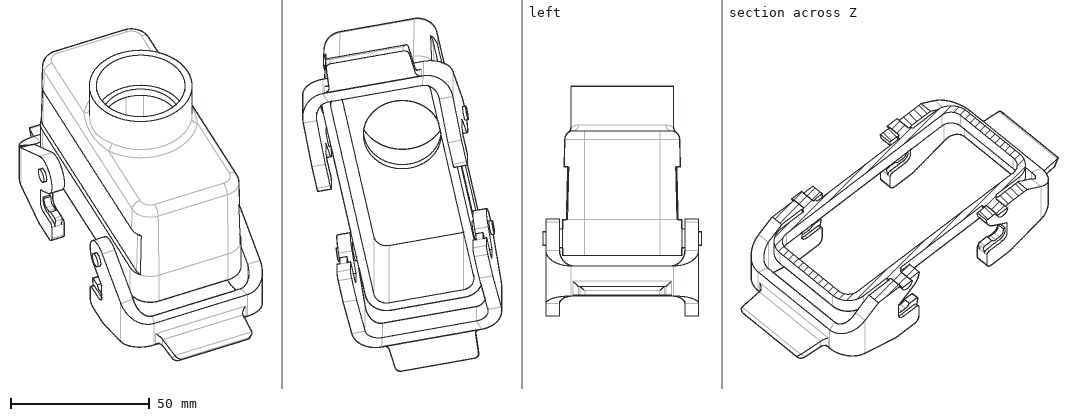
import cadquery as cq
import math


overall_length = 130.9
overall_width = 57.2

clearance = 1.3
edge_margin = 0.4

base_half_length = 46.9
base_half_width = 21.5
corner_radius = 7.9
base_height = 13.0
roof_z = 44.9
draft_angle = 1.5
roof_fillet = 3.1
wall = 3.1
roof_thickness = 2.1
upper_height = roof_z - base_height

recess_top_z = 32.0
recess_depth = 1.3
recess_half_length = 41.6
recess_end_drop = 1.0
recess_floor = base_half_width - recess_depth

entry_diameter = 37.0
entry_bore = 32.0
entry_throat = 28.0
entry_top_z = 61.0
entry_ledge_z = 46.0
entry_fillet = 2.1

pivot_x = 24.0
pivot_z = 6.2
pin_diameter = 5.0
boss_diameter = 6.8

lever_half_width = 27.5
lever_half_length = 53.1
arm_thickness = 5.0
crosspiece_thickness = 3.8
bend_radius = 9.0
eye_radius = 7.1
strap_angle = math.radians(32)
heel_angle = math.radians(16.4)
lever_bottom_z = -21.9
heel_x = -28.4
arm_inner = lever_half_width - arm_thickness
bend_inner_radius = bend_radius - crosspiece_thickness
bend_steps = 8
bend_x = bend_radius - lever_half_length
bend_inner_y = arm_inner - bend_inner_radius
bend_outer_y = lever_half_width - bend_radius

notch_x = -27.2
hook_tip_x = -17.0
hook_top_z = -12.7
notch_fillet = 2.6
hook_top_fillet = 1.3
hook_bottom_fillet = 2.4

rib_thickness = 2.6
rib_top_z = -10.0
rib_tip_x = -16.4
rib_start_z = -8.2
rib_seat_z = -11.1
rib_seat_x = -26.5
rib_wave = 2.0
rib_crest_x = -20.7
rib_corner = 0.8

handle_top_z = -11.1
handle_thickness = 3.1
handle_root_half_width = 15.8
handle_tip_half_width = 15.0
handle_tip_slant = math.radians(29)
handle_tip_round = 1.0
handle_corner_fillet = 1.8
handle_root_fillet = 2.0


def rounded_plan(z, half_length, half_width, radius, height, taper=0.0):
    """Upright block with rounded vertical edges, its lower face at height z."""
    plan = cq.Sketch().rect(2 * half_length, 2 * half_width).vertices().fillet(radius)
    return cq.Workplane("XY", origin=(0, 0, z)).placeSketch(plan).extrude(height, taper=taper)


def cylinder(z_low, z_high, diameter):
    """Upright cylinder on the Z axis."""
    return cq.Workplane("XY", origin=(0, 0, z_low)).circle(diameter / 2).extrude(z_high - z_low)


def make_recesses():
    """Material removed from both long sides: a block around a drafted core with sloping ends."""
    height = recess_top_z - base_height
    core_end = base_half_length + clearance
    end_slope = recess_end_drop / (base_half_length - recess_half_length)
    end_y = recess_floor - (core_end - recess_half_length) * end_slope
    core = (
        cq.Workplane("XY", origin=(0, 0, base_height))
        .polyline([
            (recess_half_length, recess_floor), (core_end, end_y),
            (core_end, -end_y), (recess_half_length, -recess_floor),
            (-recess_half_length, -recess_floor), (-core_end, -end_y),
            (-core_end, end_y), (-recess_half_length, recess_floor),
        ])
        .close()
        .extrude(height, taper=draft_angle)
    )
    block_width = 2 * (base_half_width + clearance)
    block = cq.Workplane("XY", origin=(0, 0, base_height)).box(
        2 * core_end, block_width, height, centered=(True, True, False)
    )
    return block.cut(core)


def make_pivot(pivot_side, arm_side):
    """Boss and pin, standing out from a long side of the hood."""
    boss_root = base_half_width - wall / 2
    pivot = cq.Workplane("XZ", origin=(pivot_side * pivot_x, 0, pivot_z))
    boss = pivot.workplane(offset=boss_root).circle(boss_diameter / 2).extrude(arm_inner - boss_root)
    pin = pivot.workplane(offset=boss_root).circle(pin_diameter / 2).extrude(overall_width / 2 - boss_root)
    stud = boss.union(pin)
    return stud if arm_side < 0 else stud.mirror("XZ")


def make_hood():
    """Hollow hood with its cable entry, side recesses and pivot pins."""
    band = rounded_plan(0, base_half_length, base_half_width, corner_radius, base_height)
    upper = rounded_plan(
        base_height, base_half_length, base_half_width, corner_radius, upper_height, draft_angle
    )
    upper = upper.faces(">Z").edges().fillet(roof_fillet)
    entry = cylinder(roof_z - roof_fillet, entry_top_z, entry_diameter)
    body = band.union(upper).union(entry)

    reach = entry_diameter / 2 + edge_margin
    entry_root = cq.selectors.BoxSelector(
        (-reach, -reach, roof_z - edge_margin), (reach, reach, roof_z + edge_margin)
    )
    body = body.edges(entry_root).fillet(entry_fillet)

    body = body.cut(make_recesses())

    cavity_top = roof_z - roof_thickness
    cavity = rounded_plan(
        0, base_half_length - wall, base_half_width - wall, corner_radius - wall, cavity_top
    )
    body = body.cut(cavity)
    body = body.cut(cylinder(cavity_top, entry_top_z, entry_throat))
    body = body.cut(cylinder(entry_ledge_z, entry_top_z, entry_bore))

    for pivot_side in (1, -1):
        for arm_side in (1, -1):
            body = body.union(make_pivot(pivot_side, arm_side))
    return body


def strap_top(x):
    """Height of the sloping upper edge of an arm, tangent to the eye."""
    tangent_x = -pivot_x - eye_radius * math.sin(strap_angle)
    tangent_z = pivot_z + eye_radius * math.cos(strap_angle)
    return tangent_z + (x - tangent_x) * math.tan(strap_angle)


def strap_bottom(x):
    """Height of the sloping edge on the underside of an arm, tangent to the eye."""
    tangent_x = -pivot_x + eye_radius * math.sin(strap_angle)
    tangent_z = pivot_z - eye_radius * math.cos(strap_angle)
    return tangent_z + (x - tangent_x) * math.tan(strap_angle)


def heel_bottom(x):
    """Height of the sloping underside between the hook and the crosspiece."""
    return lever_bottom_z + (heel_x - x) * math.tan(heel_angle)


def make_arm():
    """Flat side arm at -Y: strap, eye, notch and hook."""
    eye_top_x = -pivot_x - eye_radius * math.sin(strap_angle)
    eye_bottom_x = -pivot_x + eye_radius * math.sin(strap_angle)
    eye_far = (
        -pivot_x + eye_radius * math.cos(strap_angle),
        pivot_z + eye_radius * math.sin(strap_angle),
    )
    plane = cq.Workplane("XZ", origin=(0, -arm_inner, 0))
    arm = (
        plane.moveTo(bend_x, strap_top(bend_x))
        .lineTo(eye_top_x, strap_top(eye_top_x))
        .threePointArc(eye_far, (eye_bottom_x, strap_bottom(eye_bottom_x)))
        .lineTo(notch_x, strap_bottom(notch_x))
        .lineTo(notch_x, hook_top_z)
        .lineTo(hook_tip_x, hook_top_z)
        .lineTo(hook_tip_x, lever_bottom_z)
        .lineTo(heel_x, lever_bottom_z)
        .lineTo(bend_x, heel_bottom(bend_x))
        .close()
        .extrude(arm_thickness)
    )
    for x, z, radius in (
        (notch_x, hook_top_z, notch_fillet),
        (hook_tip_x, hook_top_z, hook_top_fillet),
        (hook_tip_x, lever_bottom_z, hook_bottom_fillet),
    ):
        corner = cq.selectors.NearestToPointSelector((x, -arm_inner - arm_thickness / 2, z))
        arm = arm.edges("|Y").edges(corner).fillet(radius)

    eye_hole = plane.center(-pivot_x, pivot_z).circle(pin_diameter / 2).extrude(arm_thickness)
    return arm.cut(eye_hole).union(make_rib())


def make_rib():
    """Narrow rib along the notch and the top of the hook, with a hollow seat."""
    rib_y = -arm_inner - (arm_thickness - rib_thickness) / 2
    root_x = notch_x - rib_thickness
    root_z = hook_top_z - hook_top_fillet
    return (
        cq.Workplane("XZ", origin=(0, rib_y, 0))
        .moveTo(root_x, rib_start_z)
        .lineTo(rib_seat_x, rib_start_z)
        .spline(
            [(rib_seat_x + rib_wave, rib_seat_z)],
            tangents=[(0, -1), (1, 0)],
            includeCurrent=True,
        )
        .lineTo(rib_crest_x - rib_wave, rib_seat_z)
        .spline(
            [(rib_crest_x, rib_top_z)],
            tangents=[(1, 0), (1, 1)],
            includeCurrent=True,
        )
        .lineTo(rib_tip_x - rib_corner, rib_top_z)
        .radiusArc((rib_tip_x, rib_top_z - rib_corner), rib_corner)
        .lineTo(hook_tip_x, root_z)
        .lineTo(root_x, root_z)
        .close()
        .extrude(rib_thickness)
    )


def bend_edge(centre_y, radius, height):
    """Curved edge of the U bend; its height follows the outside of the bend."""
    points = []
    for step in range(bend_steps + 1):
        angle = math.pi / 2 * step / bend_steps
        x = bend_x - radius * math.sin(angle)
        y = -centre_y - radius * math.cos(angle)
        outer_x = bend_x - bend_radius * math.sin(angle)
        points.append(cq.Vector(x, y, height(outer_x)))
    return cq.Edge.makeSpline(points)


def make_bend():
    """Bend at -Y between arm and crosspiece, its upper and lower faces square to the sheet."""
    outer_top = bend_edge(bend_outer_y, bend_radius, strap_top)
    outer_bottom = bend_edge(bend_outer_y, bend_radius, heel_bottom)
    inner_top = bend_edge(bend_inner_y, bend_inner_radius, strap_top)
    inner_bottom = bend_edge(bend_inner_y, bend_inner_radius, heel_bottom)
    loop = [outer_top, inner_top, inner_bottom, outer_bottom]
    faces = []
    for edge, next_edge in zip(loop, loop[1:] + loop[:1]):
        faces.append(cq.Face.makeRuledSurface(edge, next_edge))
    for end in (0, 1):
        corners = [edge.positionAt(end) for edge in loop]
        faces.append(cq.Face.makeFromWires(cq.Wire.makePolygon(corners, close=True)))
    return cq.Workplane(cq.Solid.makeSolid(cq.Shell.makeShell(faces)))


def make_crosspiece():
    """Straight wall joining the two bends."""
    top = strap_top(-lever_half_length)
    bottom = heel_bottom(-lever_half_length)
    inner_x = crosspiece_thickness - lever_half_length
    return (
        cq.Workplane("XY", origin=(0, 0, bottom))
        .polyline([
            (-lever_half_length, bend_outer_y), (inner_x, bend_inner_y),
            (inner_x, -bend_inner_y), (-lever_half_length, -bend_outer_y),
        ])
        .close()
        .extrude(top - bottom)
    )


def make_handle():
    """Tapered finger plate, its root flared in a concave fillet where it meets the crosspiece."""
    root_x = crosspiece_thickness / 2 - lever_half_length
    half_length = overall_length / 2
    overhang = handle_tip_round * (1 / math.cos(handle_tip_slant) + math.tan(handle_tip_slant) - 1)
    tip_top_x = -half_length - overhang
    tip_bottom_x = tip_top_x + handle_thickness * math.tan(handle_tip_slant)
    handle_bottom_z = handle_top_z - handle_thickness
    wall_x = -lever_half_length
    neck_x = wall_x - handle_root_fillet
    flared_half_width = handle_root_half_width + handle_root_fillet
    flared_top_z = handle_top_z + handle_root_fillet

    outline = (
        cq.Workplane("XY", origin=(0, 0, handle_bottom_z))
        .moveTo(root_x, flared_half_width)
        .lineTo(wall_x, flared_half_width)
        .radiusArc((neck_x, handle_root_half_width), handle_root_fillet)
        .lineTo(tip_top_x, handle_tip_half_width)
        .lineTo(tip_top_x, -handle_tip_half_width)
        .lineTo(neck_x, -handle_root_half_width)
        .radiusArc((wall_x, -flared_half_width), handle_root_fillet)
        .lineTo(root_x, -flared_half_width)
        .close()
        .extrude(flared_top_z - handle_bottom_z)
    )
    side = (
        cq.Workplane("XZ", origin=(0, flared_half_width, 0))
        .moveTo(root_x, flared_top_z)
        .lineTo(wall_x, flared_top_z)
        .radiusArc((neck_x, handle_top_z), handle_root_fillet)
        .lineTo(tip_top_x, handle_top_z)
        .lineTo(tip_bottom_x, handle_bottom_z)
        .lineTo(root_x, handle_bottom_z)
        .close()
        .extrude(2 * flared_half_width)
    )
    plate = outline.intersect(side)

    tip_mid_x = (tip_top_x + tip_bottom_x) / 2
    tip_mid_z = handle_top_z - handle_thickness / 2
    for y in (handle_tip_half_width, -handle_tip_half_width):
        corner = cq.selectors.NearestToPointSelector((tip_mid_x, y, tip_mid_z))
        plate = plate.edges(corner).fillet(handle_corner_fillet)

    tip_edge = cq.selectors.NearestToPointSelector((tip_top_x, 0, handle_top_z))
    return plate.intersect(side.edges(tip_edge).fillet(handle_tip_round))


def make_lever():
    """One complete lever, at the -X end of the hood."""
    arm = make_arm()
    bend = make_bend()
    lever = make_crosspiece().union(make_handle())
    for part in (arm, bend, arm.mirror("XZ"), bend.mirror("XZ")):
        lever = lever.union(part)
    return lever


hood = make_hood()
lever = make_lever()
levers = []
for turn in (0, 180):
    levers.append(lever.rotate((0, 0, 0), (0, 0, 1), turn).val())

result = cq.Compound.makeCompound([hood.val(), *levers])